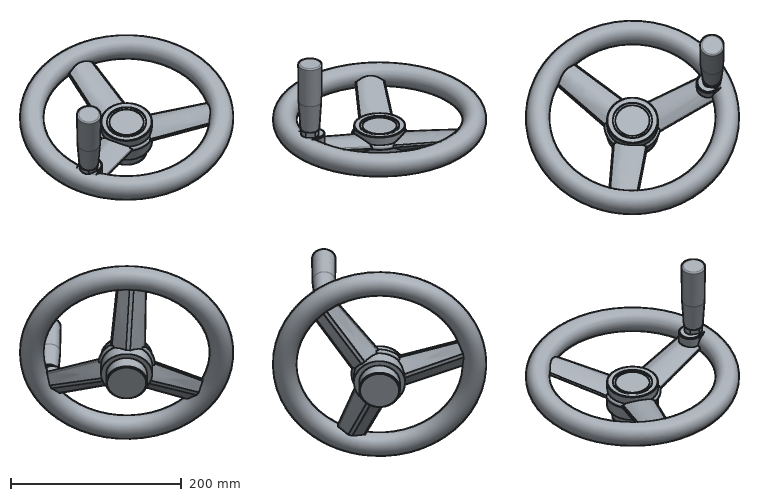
import cadquery as cq
import math


WHEEL_RADIUS = 125.0
RIM_TUBE_RADIUS = 14.0
RIM_CENTRE_RADIUS = WHEEL_RADIUS - RIM_TUBE_RADIUS

HUB_RADIUS = 30.0
HUB_TOP_Z = -7.2
HUB_STEP_Z = -41.0
HUB_TOP_CHAMFER = 0.7
SPIGOT_RADIUS = 24.0
SPIGOT_BOTTOM_Z = -57.7
SPIGOT_CHAMFER = 1.2
RECESS_RADIUS = 23.0
RECESS_DEPTH = 1.2
CAP_RADIUS = 20.0
CAP_HEIGHT = 0.2

COLLAR_RADIUS = 33.0
COLLAR_EDGE_RADIUS = 3.0
COLLAR_Z = -21.0

SPOKE_COUNT = 3
SPOKE_INNER_RADIUS = 15.0
SPOKE_OUTER_RADIUS = 110.0
SPOKE_INNER_HALF_WIDTH = 20.7
SPOKE_OUTER_HALF_WIDTH = 16.7
SPOKE_INNER_EDGE_Z = -23.7
SPOKE_EDGE_SLOPE = 0.27
SPOKE_INNER_KEEL_Z = -39.5
SPOKE_KEEL_SLOPE = 0.37
SPOKE_EDGE_ROUND = 1.5
SPOKE_CROWN = 5.2
SPOKE_KEEL_HALF_WIDTH = 2.5

HANDLE_DISTANCE = 101.7
SEAT_RADIUS = 13.7
SEAT_END_DISTANCE = 97.0
SEAT_TOP_Z = 13.7
SEAT_BOTTOM_Z = -2.5
SEAT_CHAMFER = 1.2

NECK_RADIUS = 10.5
NECK_BOTTOM_Z = 7.5
NECK_FLAT_DISTANCE = 9.0
NECK_FLAT_ANGLE = -33.0
GRIP_BOTTOM_Z = 21.0
GRIP_BOTTOM_RADIUS = 11.2
GRIP_BOTTOM_CHAMFER = 0.5
GRIP_JOINT_Z = 57.7
GRIP_JOINT_RADIUS = 13.5
GRIP_TOP_Z = 107.7
GRIP_TOP_RADIUS = 14.0
GRIP_FACE_RADIUS = 12.0
GRIP_EDGE_HEIGHT = 1.5


def make_rim():
    return cq.Workplane(cq.Solid.makeTorus(RIM_CENTRE_RADIUS, RIM_TUBE_RADIUS))


def cylinder(radius, bottom_z, top_z):
    return cq.Workplane("XY").workplane(offset=bottom_z).circle(radius).extrude(top_z - bottom_z)


def make_hub():
    body = cylinder(HUB_RADIUS, HUB_STEP_Z, HUB_TOP_Z).faces(">Z").chamfer(HUB_TOP_CHAMFER)
    spigot = cylinder(SPIGOT_RADIUS, SPIGOT_BOTTOM_Z, HUB_STEP_Z).faces("<Z").chamfer(SPIGOT_CHAMFER)
    floor_z = HUB_TOP_Z - RECESS_DEPTH
    recess = cylinder(RECESS_RADIUS, floor_z, HUB_TOP_Z)
    cap = cylinder(CAP_RADIUS, floor_z, floor_z + CAP_HEIGHT)
    return body.union(spigot).cut(recess).union(cap)


def make_collar():
    round_centre = COLLAR_RADIUS - COLLAR_EDGE_RADIUS
    top_z = COLLAR_Z + COLLAR_EDGE_RADIUS
    bottom_z = COLLAR_Z - COLLAR_EDGE_RADIUS
    return (
        cq.Workplane("XZ")
        .moveTo(0, bottom_z)
        .lineTo(round_centre, bottom_z)
        .threePointArc((COLLAR_RADIUS, COLLAR_Z), (round_centre, top_z))
        .lineTo(0, top_z)
        .close()
        .revolve(360, (0, 0), (0, 1))
    )


def spoke_section(distance, half_width):
    """Closed section across a spoke: crowned top, rounded edges and a V-shaped underside."""
    run = distance - SPOKE_INNER_RADIUS
    edge_z = SPOKE_INNER_EDGE_Z + SPOKE_EDGE_SLOPE * run
    keel_z = SPOKE_INNER_KEEL_Z + SPOKE_KEEL_SLOPE * run
    shoulder = half_width - SPOKE_EDGE_ROUND
    upper_z = edge_z + SPOKE_EDGE_ROUND
    lower_z = edge_z - SPOKE_EDGE_ROUND
    section = (
        cq.Workplane("XZ", origin=(0, -distance, 0))
        .moveTo(-shoulder, upper_z)
        .threePointArc((0, upper_z + SPOKE_CROWN), (shoulder, upper_z))
        .threePointArc((half_width, edge_z), (shoulder, lower_z))
        .lineTo(SPOKE_KEEL_HALF_WIDTH, keel_z)
        .lineTo(-SPOKE_KEEL_HALF_WIDTH, keel_z)
        .lineTo(-shoulder, lower_z)
        .threePointArc((-half_width, edge_z), (-shoulder, upper_z))
        .close()
    )
    return section.val()


def make_spoke(angle):
    """Spoke lofted along -Y, then turned about the wheel axis."""
    inner = spoke_section(SPOKE_INNER_RADIUS, SPOKE_INNER_HALF_WIDTH)
    outer = spoke_section(SPOKE_OUTER_RADIUS, SPOKE_OUTER_HALF_WIDTH)
    spoke = cq.Workplane(cq.Solid.makeLoft([inner, outer], True))
    return spoke.rotate((0, 0, 0), (0, 0, 1), angle)


def make_handle_seat():
    length = RIM_CENTRE_RADIUS - SEAT_END_DISTANCE
    height = SEAT_TOP_Z - SEAT_BOTTOM_Z
    return (
        cq.Workplane("XY", origin=(0, -SEAT_END_DISTANCE, SEAT_BOTTOM_Z))
        .moveTo(SEAT_RADIUS, -length)
        .lineTo(SEAT_RADIUS, 0)
        .threePointArc((0, SEAT_RADIUS), (-SEAT_RADIUS, 0))
        .lineTo(-SEAT_RADIUS, -length)
        .close()
        .extrude(height)
        .faces(">Z")
        .chamfer(SEAT_CHAMFER)
    )


def make_neck():
    """Round neck with two parallel wrench flats."""
    neck = cylinder(NECK_RADIUS, NECK_BOTTOM_Z, GRIP_BOTTOM_Z)
    flats = (
        cq.Workplane("XY", origin=(0, 0, NECK_BOTTOM_Z))
        .rect(2 * NECK_FLAT_DISTANCE, 2 * NECK_RADIUS)
        .extrude(GRIP_BOTTOM_Z - NECK_BOTTOM_Z)
        .rotate((0, 0, 0), (0, 0, 1), NECK_FLAT_ANGLE)
    )
    return neck.intersect(flats)


def make_grip():
    edge_z = GRIP_TOP_Z - GRIP_EDGE_HEIGHT
    bend = math.sqrt(0.5)
    edge_middle = (
        GRIP_FACE_RADIUS + (GRIP_TOP_RADIUS - GRIP_FACE_RADIUS) * bend,
        edge_z + GRIP_EDGE_HEIGHT * bend,
    )
    return (
        cq.Workplane("XZ")
        .moveTo(0, GRIP_BOTTOM_Z)
        .lineTo(GRIP_BOTTOM_RADIUS - GRIP_BOTTOM_CHAMFER, GRIP_BOTTOM_Z)
        .lineTo(GRIP_BOTTOM_RADIUS, GRIP_BOTTOM_Z + GRIP_BOTTOM_CHAMFER)
        .lineTo(GRIP_JOINT_RADIUS, GRIP_JOINT_Z)
        .lineTo(GRIP_TOP_RADIUS, edge_z)
        .threePointArc(edge_middle, (GRIP_FACE_RADIUS, GRIP_TOP_Z))
        .lineTo(0, GRIP_TOP_Z)
        .close()
        .revolve(360, (0, 0), (0, 1))
    )


def make_handle():
    return make_neck().union(make_grip()).translate((0, -HANDLE_DISTANCE, 0))


centre = make_hub().union(make_collar())
for index in range(SPOKE_COUNT):
    centre = centre.union(make_spoke(index * 360.0 / SPOKE_COUNT))
wheel = centre.union(make_rim()).union(make_handle_seat())
result = wheel.union(make_handle(), clean=False)